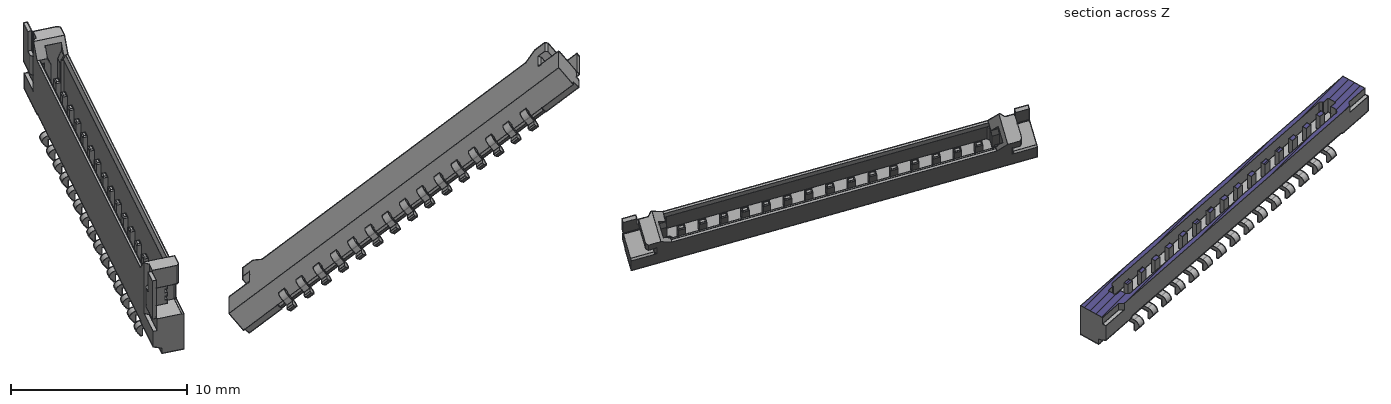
import cadquery as cq


length = 23.9
depth = 1.85
height = 5.5
half_length = length / 2
wall_top = 4.6
slope_outer = 10.2
slope_inner = 9.55

cavity_floor = 1.2
wall_thickness = 0.29
rim_chamfer_width = 0.15
rim_chamfer_height = 0.29
cavity_corner_chamfer = 0.15
key_slot_end = 10.0
key_slot_width = 0.53
key_slot_flare = 0.22
key_slot_center_y = 1.1
flare_bottom = 4.06

front_recess_depth = 0.25
front_recess_bottom = 1.77
front_recess_edge = 10.28
front_recess_corner = 10.5
wall_x = 10.56
post_x = 11.07
shelf_top = 2.63
block_bottom = 4.13
back_bevel_depth = 0.15
back_bevel_width = 0.12
shelf_bevel_height = 0.05

step_depth = 0.53
step_lip = 0.38
end_step_front = 0.62
end_step_slope = step_depth
center_step_front = 0.72
center_step_slope = 0.25

tab_front = -0.05
tab_thickness = 0.25
tab_bottom = 2.68
tab_shoulder = 4.06
tab_upper_edge = 11.14
leg_end_y = 1.2
leg_thickness = 0.3
tab_bend_radius = 0.26
barb_notch_depth = 0.15
barb_notch_height = 0.26
barb_notch_bottoms = (2.96, 3.5)

pin_count = 15
pin_row_span = 17.5
pin_pitch = pin_row_span / (pin_count - 1)
pin_width = 0.43
pin_thickness = 0.29
pin_center_y = 0.93
pin_top = 3.58
pin_tip_chamfer = 0.07
pin_drop = 1.0
foot_top = -0.22
pin_bend_radius = 0.12
toe_depth = 0.38
toe_tip_flat = 0.12


def box(x_range, y_range, z_range):
    """Axis-aligned box between pairs of limits."""
    (x0, x1), (y0, y1), (z0, z1) = x_range, y_range, z_range
    return cq.Workplane("XY").box(x1 - x0, y1 - y0, z1 - z0, centered=False).translate((x0, y0, z0))


def extrude_along_x(points, x_start, x_end):
    """Prism with a (y, z) outline, running along X."""
    return cq.Workplane("YZ", origin=(x_start, 0, 0)).polyline(points).close().extrude(x_end - x_start)


def extrude_along_z(points, z_start, z_end):
    """Prism with an (x, y) outline, running along Z."""
    return cq.Workplane("XY", origin=(0, 0, z_start)).polyline(points).close().extrude(z_end - z_start)


def both_ends(shape):
    """The shape together with its mirror image at the other end."""
    return shape.union(shape.mirror("YZ"))


def housing_blank():
    right_side = [(half_length, 0), (half_length, height), (slope_outer, height), (slope_inner, wall_top)]
    left_side = [(-x, z) for x, z in reversed(right_side)]
    outline = cq.Workplane("XZ").polyline(right_side + left_side).close()
    return outline.extrude(-depth)


def cavity():
    pocket = box(
        (-slope_inner, slope_inner), (wall_thickness, depth - wall_thickness), (cavity_floor, height)
    )
    pocket = pocket.edges("|Z").chamfer(cavity_corner_chamfer)
    y_front = wall_thickness
    y_back = depth - wall_thickness
    rim = extrude_along_x(
        [
            (y_front, wall_top - rim_chamfer_height),
            (y_back, wall_top - rim_chamfer_height),
            (y_back + rim_chamfer_width, wall_top),
            (y_front - rim_chamfer_width, wall_top),
        ],
        -slope_inner,
        slope_inner,
    )
    return pocket.union(rim)


def key_slot():
    """Slot in the end of the cavity, flared towards the top."""
    low = key_slot_width / 2
    high = low + key_slot_flare
    half_outline = [(low, cavity_floor), (low, flare_bottom), (high, wall_top), (high, height)]
    outline = [(key_slot_center_y + y, z) for y, z in half_outline]
    outline += [(key_slot_center_y - y, z) for y, z in reversed(half_outline)]
    return extrude_along_x(outline, slope_inner, key_slot_end)


def front_recess():
    outline = [
        (half_length, 0),
        (front_recess_edge, 0),
        (front_recess_corner, front_recess_depth),
        (half_length, front_recess_depth),
    ]
    return extrude_along_z(outline, front_recess_bottom, height)


def end_opening(face_x, z_start, z_end):
    """Space outside an end face whose back corner is bevelled."""
    bevel_y = depth - back_bevel_depth
    outline = [
        (half_length, 0),
        (face_x, 0),
        (face_x, bevel_y),
        (face_x - back_bevel_width, depth),
        (half_length, depth),
    ]
    return extrude_along_z(outline, z_start, z_end)


def shelf_bevel():
    """Shallow bevel along the back top edge of the lower end block."""
    outline = [
        (depth - back_bevel_depth, shelf_top),
        (depth, shelf_top),
        (depth, shelf_top - shelf_bevel_height),
    ]
    return extrude_along_x(outline, wall_x, half_length)


def underside_step(x_start, x_end, front_height, slope_depth):
    """Step along the front bottom edge; its roof drops over slope_depth, then runs level."""
    level = box((x_start, x_end), (0, step_depth), (0, step_lip))
    slope = extrude_along_x([(0, step_lip), (0, front_height), (slope_depth, step_lip)], x_start, x_end)
    return level.union(slope)


def end_tab():
    """Front plate with a barbed leg bent back along the end wall."""
    tab_back = tab_front + tab_thickness
    plate = box((wall_x, half_length), (tab_front, tab_back), (tab_bottom, tab_shoulder))
    leg = box((wall_x, wall_x + leg_thickness), (tab_front, leg_end_y), (tab_bottom, tab_shoulder))
    bent = plate.union(leg).edges("|Z and <X and <Y").fillet(tab_bend_radius)
    upper = box((tab_upper_edge, half_length), (tab_front, tab_back), (tab_shoulder, height))
    tab = bent.union(upper)
    for bottom in barb_notch_bottoms:
        notch = box(
            (wall_x, wall_x + leg_thickness),
            (leg_end_y - barb_notch_depth, leg_end_y),
            (bottom, bottom + barb_notch_height),
        )
        tab = tab.cut(notch)
    return tab


def pin():
    """Straight contact that turns forward under the housing and ends in a downward toe."""
    outer_radius = pin_bend_radius + pin_thickness
    y_front = pin_center_y - pin_thickness / 2
    y_back = pin_center_y + pin_thickness / 2
    foot_bottom = foot_top - pin_thickness
    bend_y = y_front - pin_bend_radius
    bend_z = foot_top + pin_bend_radius
    toe_back = tab_front + toe_depth
    profile = (
        cq.Workplane("YZ")
        .moveTo(y_front, pin_top)
        .lineTo(y_front, bend_z)
        .radiusArc((bend_y, foot_top), pin_bend_radius)
        .lineTo(toe_back, foot_top)
        .radiusArc((tab_front, foot_top - toe_depth), -toe_depth)
        .lineTo(toe_back - toe_tip_flat, -pin_drop)
        .lineTo(toe_back, -pin_drop)
        .lineTo(toe_back, foot_bottom)
        .lineTo(bend_y, foot_bottom)
        .radiusArc((y_back, bend_z), -outer_radius)
        .lineTo(y_back, pin_top)
        .close()
    )
    return profile.extrude(pin_width / 2, both=True).faces(">Z").chamfer(pin_tip_chamfer)


housing = housing_blank().cut(cavity())
housing = housing.cut(both_ends(key_slot()))
housing = housing.cut(both_ends(front_recess()))
housing = housing.cut(both_ends(end_opening(wall_x, shelf_top, block_bottom)))
housing = housing.cut(both_ends(end_opening(post_x, block_bottom, height)))
housing = housing.cut(both_ends(shelf_bevel()))
housing = housing.cut(underside_step(-slope_inner, slope_inner, center_step_front, center_step_slope))
housing = housing.cut(both_ends(underside_step(slope_inner, half_length, end_step_front, end_step_slope)))

result = housing.union(both_ends(end_tab()))
contact = pin()
for index in range(pin_count):
    x = index * pin_pitch - pin_row_span / 2
    result = result.union(contact.translate((x, 0, 0)))